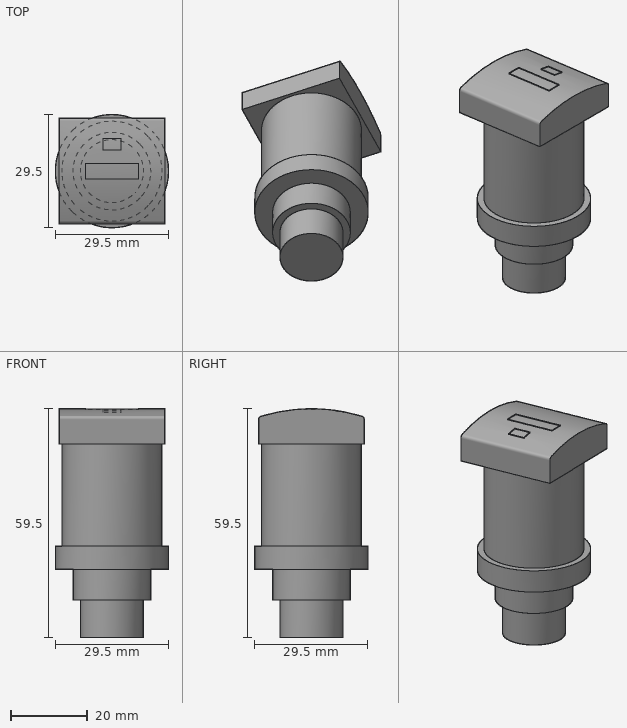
import cadquery as cq
import math

tip_diameter = 16.4
tip_height = 9.75
neck_diameter = 20.2
neck_height = 8.0
flange_diameter = 29.5
flange_height = 6.0
barrel_diameter = 26.0
barrel_height = 26.5

total_height = 59.5
cap_width = 27.5
crown_radius = 45.0
crown_edge_fillet = 1.0

pocket_depth = 0.2
long_pocket_length = 13.8
long_pocket_width = 4.0
short_pocket_length = 4.7
short_pocket_width = 3.0
short_pocket_y = 7.0

cap_bottom = tip_height + neck_height + flange_height + barrel_height
half_width = cap_width / 2
crown_drop = crown_radius - math.sqrt(crown_radius**2 - half_width**2)
crown_edge_z = total_height - crown_drop
crown_axis_z = total_height - crown_radius


def make_stem():
    """Stack the stem cylinders upward from Z = 0."""
    sections = [
        (tip_diameter, tip_height),
        (neck_diameter, neck_height),
        (flange_diameter, flange_height),
        (barrel_diameter, barrel_height),
    ]
    stem = cq.Workplane("XY")
    base_z = 0
    for diameter, height in sections:
        section = cq.Workplane("XY", origin=(0, 0, base_z)).circle(diameter / 2).extrude(height)
        stem = stem.add(section)
        base_z += height
    return stem.combine()


def make_cap():
    """Extrude the crowned YZ outline along X and round its two upper edges."""
    cap = (
        cq.Workplane("YZ")
        .moveTo(-half_width, cap_bottom)
        .lineTo(half_width, cap_bottom)
        .lineTo(half_width, crown_edge_z)
        .threePointArc((0, total_height), (-half_width, crown_edge_z))
        .close()
        .extrude(half_width, both=True)
    )
    upper_edges = cq.selectors.BoxSelector(
        (-half_width, -cap_width, crown_edge_z - crown_edge_fillet),
        (half_width, cap_width, crown_edge_z + crown_edge_fillet),
    )
    return cap.edges("|X").edges(upper_edges).fillet(crown_edge_fillet)


def make_pocket(length, width, center_y):
    """Make a pocket cutter whose curved underside lies pocket_depth below the crown."""
    block = (
        cq.Workplane("XY", origin=(0, center_y, cap_bottom))
        .rect(length, width)
        .extrude(total_height - cap_bottom)
    )
    floor_cylinder = (
        cq.Workplane("YZ", origin=(0, 0, crown_axis_z))
        .circle(crown_radius - pocket_depth)
        .extrude(cap_width, both=True)
    )
    return block.cut(floor_cylinder)


long_pocket = make_pocket(long_pocket_length, long_pocket_width, 0)
short_pocket = make_pocket(short_pocket_length, short_pocket_width, short_pocket_y)

result = make_stem().union(make_cap()).cut(long_pocket).cut(short_pocket)